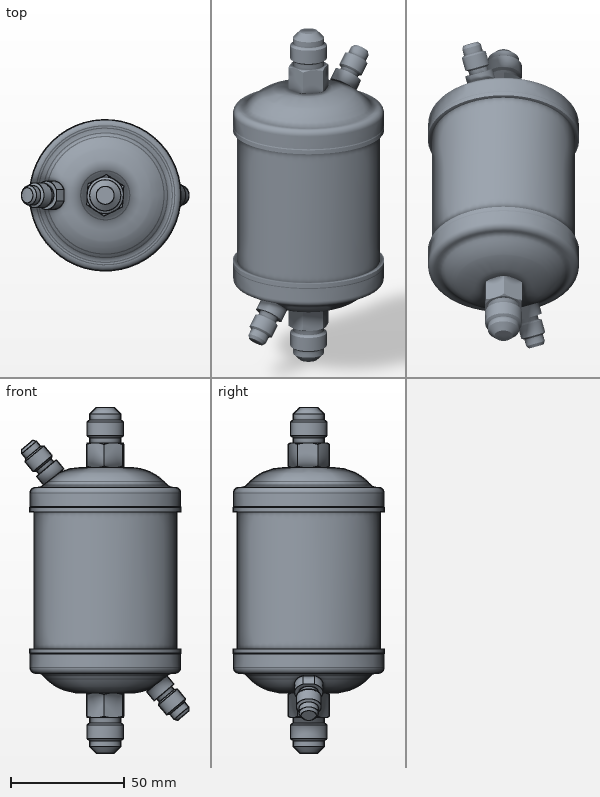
import cadquery as cq
import math

total_length = 153.0
tube_radius = 31.7
cap_lip_radius = 33.5
cap_wall_radius = 33.4
cap_lip_z = 30.3
cap_lip_top_z = 32.1
cap_lip_bevel_height = 0.5
shoulder_z = 41.2
cap_fillet = 2.6

crown_z = 49.9
crown_flat_radius = 10.9
crown_arc_radius = 21.4
root_arc_radius = 3.0
dome_slope = math.radians(45)

hex_across_flats = 15.9
hex_turn = -3.5
hex_top_z = 60.7
hex_chamfer_radius = 8.1
hex_chamfer_slope = math.radians(30)
main_neck_radius = 6.9
main_thread_radius = 8.1
main_thread_start_z = 63.0
main_thread_end_z = 71.0
main_thread_chamfer = 0.9
main_cone_length = 2.9
main_tip_radius = 4.0

side_tip_x = -34.6
side_tip_z = 59.8
side_elevation = 50.0
side_neck_radius = 4.3
side_tip_radius = 3.4
side_tip_bevel = 1.4
side_thread_radius = 5.5
side_thread_start = 4.3
side_thread_end = 11.5
side_thread_chamfer = 0.8
side_base_start = 13.3
side_base_end = 18.5
side_base_radius = 6.3
side_base_across_flats = 11.5


def revolve_profile(outline):
    """Revolve a closed (radius, height) outline about Z."""
    return outline.close().revolve(360, (0, 0, 0), (0, 1, 0))


def end_cap():
    """Upper domed cap with its lip."""
    sine = math.sin(dome_slope)
    cosine = math.cos(dome_slope)
    half_sine = math.sin(dome_slope / 2)
    half_cosine = math.cos(dome_slope / 2)

    crown_arc_center_z = crown_z - crown_arc_radius
    crown_arc_end = (
        crown_flat_radius + crown_arc_radius * sine,
        crown_arc_center_z + crown_arc_radius * cosine,
    )
    crown_arc_middle = (
        crown_flat_radius + crown_arc_radius * half_sine,
        crown_arc_center_z + crown_arc_radius * half_cosine,
    )

    root_arc_start_z = shoulder_z + root_arc_radius * (1 - cosine)
    cone_run = (crown_arc_end[1] - root_arc_start_z) / math.tan(dome_slope)
    root_arc_start_radius = crown_arc_end[0] + cone_run
    root_center_radius = root_arc_start_radius + root_arc_radius * sine
    root_center_z = shoulder_z + root_arc_radius
    root_arc_middle = (
        root_center_radius - root_arc_radius * half_sine,
        root_center_z - root_arc_radius * half_cosine,
    )

    fillet_center_radius = cap_wall_radius - cap_fillet
    fillet_center_z = shoulder_z - cap_fillet
    fillet_middle = (
        fillet_center_radius + cap_fillet * math.sqrt(0.5),
        fillet_center_z + cap_fillet * math.sqrt(0.5),
    )

    outline = (
        cq.Workplane("XZ")
        .moveTo(0, cap_lip_z)
        .lineTo(cap_lip_radius, cap_lip_z)
        .lineTo(cap_lip_radius, cap_lip_top_z)
        .lineTo(cap_wall_radius, cap_lip_top_z + cap_lip_bevel_height)
        .lineTo(cap_wall_radius, fillet_center_z)
        .threePointArc(fillet_middle, (fillet_center_radius, shoulder_z))
        .lineTo(root_center_radius, shoulder_z)
        .threePointArc(root_arc_middle, (root_arc_start_radius, root_arc_start_z))
        .lineTo(*crown_arc_end)
        .threePointArc(crown_arc_middle, (crown_flat_radius, crown_z))
        .lineTo(0, crown_z)
    )
    return revolve_profile(outline)


def hex_nut():
    """Hexagon on the crown with its corners chamfered at both ends."""
    corner_radius = hex_across_flats / math.sqrt(3)
    chamfer_height = (corner_radius - hex_chamfer_radius) * math.tan(hex_chamfer_slope)
    prism = (
        cq.Workplane("XY", origin=(0, 0, crown_z))
        .transformed(rotate=(0, 0, 90 + hex_turn))
        .polygon(6, 2 * corner_radius)
        .extrude(hex_top_z - crown_z)
    )
    chamfer_envelope = revolve_profile(
        cq.Workplane("XZ").polyline([
            (0, crown_z),
            (hex_chamfer_radius, crown_z),
            (corner_radius, crown_z + chamfer_height),
            (corner_radius, hex_top_z - chamfer_height),
            (hex_chamfer_radius, hex_top_z),
            (0, hex_top_z),
        ])
    )
    return prism.intersect(chamfer_envelope)


def main_fitting():
    """Hexagon, neck, threaded collar and flare cone on the main axis."""
    tip_z = total_length / 2
    stem = revolve_profile(
        cq.Workplane("XZ").polyline([
            (0, crown_z),
            (main_neck_radius, crown_z),
            (main_neck_radius, main_thread_start_z),
            (main_thread_radius, main_thread_start_z + main_thread_chamfer),
            (main_thread_radius, main_thread_end_z - main_thread_chamfer),
            (main_neck_radius, main_thread_end_z),
            (main_neck_radius, tip_z - main_cone_length),
            (main_tip_radius, tip_z),
            (0, tip_z),
        ])
    )
    return hex_nut().union(stem)


def side_fitting():
    """Small access fitting set at a slant into the -X side of the upper dome."""
    stem = revolve_profile(
        cq.Workplane("XZ").polyline([
            (0, 0),
            (side_tip_radius, 0),
            (side_neck_radius, -side_tip_bevel),
            (side_neck_radius, -side_thread_start),
            (side_thread_radius, -side_thread_start - side_thread_chamfer),
            (side_thread_radius, -side_thread_end + side_thread_chamfer),
            (side_neck_radius, -side_thread_end),
            (side_neck_radius, -side_base_end),
            (0, -side_base_end),
        ])
    )
    base_length = side_base_end - side_base_start
    base_plane = cq.Workplane("XY", origin=(0, 0, -side_base_end))
    base = base_plane.circle(side_base_radius).extrude(base_length)
    flats = base_plane.rect(side_base_across_flats, 2 * side_base_radius).extrude(base_length)
    return (
        stem.union(base.intersect(flats))
        .rotate((0, 0, 0), (0, 1, 0), side_elevation - 90)
        .translate((side_tip_x, 0, side_tip_z))
    )


tube = (
    cq.Workplane("XY", origin=(0, 0, -cap_lip_z))
    .circle(tube_radius)
    .extrude(2 * cap_lip_z)
)
upper_end = end_cap().union(main_fitting())
lower_end = upper_end.mirror("XY")
upper_side_fitting = side_fitting()
lower_side_fitting = upper_side_fitting.rotate((0, 0, 0), (0, 1, 0), 180)

result = (
    tube.union(upper_end)
    .union(lower_end)
    .union(upper_side_fitting)
    .union(lower_side_fitting)
)